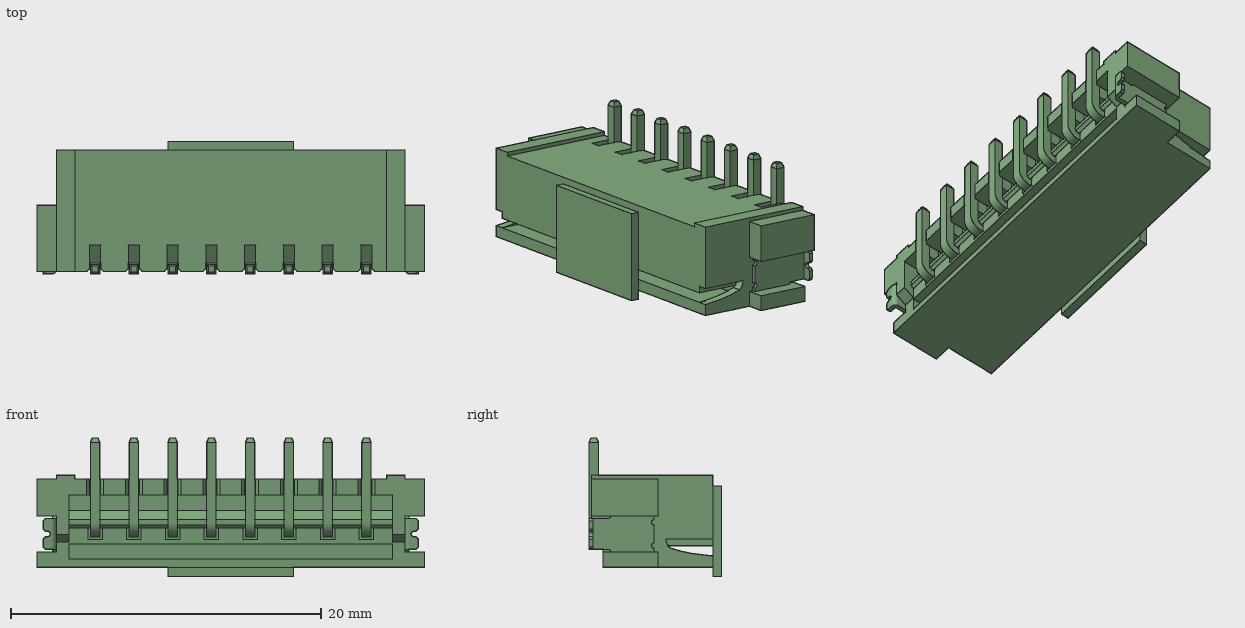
import cadquery as cq


HOUSING_WIDTH = 22.5
HOUSING_DEPTH = 7.85
HOUSING_HEIGHT = 5.7
LOWER_FRONT_Y = 0.75
FRONT_SLOPE_TOP_Z = 2.11
FRONT_SLOPE_BOTTOM_Z = 1.64
RAIL_WIDTH = 1.2
RAIL_HEIGHT = 0.25

OVERALL_WIDTH = 25.0
EAR_BACK_Y = 4.3
LOWER_EAR_TOP_Z = 1.0
UPPER_EAR_BOTTOM_Z = 3.3

PLATE_WIDTH = 8.1
PLATE_THICKNESS = 0.55
PLATE_BOTTOM_Z = -0.6
PLATE_TOP_Z = 5.25

WINDOW_WIDTH = 20.9
WINDOW_BACK_Y = 1.73
WINDOW_TOP_Z = 4.66
SHELF_BACK_Z = 3.68
SHELF_FRONT_Y = 0.55
SHELF_FRONT_Z = 3.07
SHELF_LIP_BOTTOM_Z = 2.72
SHELF_FOOT_Z = 2.53
RECESS_BOTTOM_Z = 0.52
RECESS_TOP_Z = 1.5
RECESS_DEPTH = 0.65

PIN_COUNT = 8
PIN_PITCH = 2.5
PIN_SIZE = 0.62
PIN_FRONT_Y = -0.15
PIN_TOP_Z = 8.35
PIN_BOTTOM_Z = 1.95
PIN_INNER_BEND_RADIUS = 0.23
PIN_ROOT_Y = 2.0
PIN_TIP_LENGTH = 0.3
PIN_TIP_INSET = 0.12

SLOT_WIDTH = 0.7
SLOT_FLARE = 0.2
SOCKET_WIDTH = 0.93
SOCKET_BOTTOM_Z = 1.8
SOCKET_BACK_Y = 1.2

SIDE_WALL = 0.65
PASSAGE_TOP_Z = 1.38
OPENING_FRONT_Y = 4.82
OPENING_BOTTOM_Z = 0.74
OPENING_TOP_Z = 1.82
OPENING_CURVE_START = (7.13, 0.82)
OPENING_SHALLOW_MIDDLE = (6.1, 0.97)
OPENING_CURVE_KNEE = (5.1, 1.25)
OPENING_STEEP_MIDDLE = (4.9, 1.48)

TAB_THICKNESS = 0.25
TAB_BEND_RADIUS = 0.3
TAB_TIP_X = 12.1
TAB_BACK_Y = 4.05
TAB_SHOULDER_Y = 1.3
TAB_SHOULDER = 0.15
TAB_CORNER = 0.15
TAB_NOTCH_WIDTH = 0.34
TAB_NOTCH_END_X = 11.65
TAB_RELIEF_RADIUS = 0.17
TAB_RELIEF_OFFSET = 0.75

HALF_HOUSING = HOUSING_WIDTH / 2
PIN_POSITIONS = [(i - (PIN_COUNT - 1) / 2) * PIN_PITCH for i in range(PIN_COUNT)]


def box(x_min, x_max, y_min, y_max, z_min, z_max):
    size = (x_max - x_min, y_max - y_min, z_max - z_min)
    return cq.Workplane("XY").box(*size, centered=False).translate((x_min, y_min, z_min))


def centered_box(width, y_min, y_max, z_min, z_max):
    return box(-width / 2, width / 2, y_min, y_max, z_min, z_max)


def side_profile(points, width, x_center=0):
    """Closed outline of (Y, Z) points, extruded along X about x_center."""
    outline = cq.Workplane("YZ").polyline(points).close()
    return outline.extrude(width / 2, both=True).translate((x_center, 0, 0))


def mirrored_pair(solid):
    return solid.union(solid.mirror("YZ"))


def make_housing():
    housing = side_profile(
        [
            (LOWER_FRONT_Y, 0),
            (HOUSING_DEPTH, 0),
            (HOUSING_DEPTH, HOUSING_HEIGHT),
            (0, HOUSING_HEIGHT),
            (0, FRONT_SLOPE_TOP_Z),
            (LOWER_FRONT_Y, FRONT_SLOPE_BOTTOM_Z),
        ],
        HOUSING_WIDTH,
    )
    rail_inner_x = HALF_HOUSING - RAIL_WIDTH
    rail_top_z = HOUSING_HEIGHT + RAIL_HEIGHT
    rail = box(rail_inner_x, HALF_HOUSING, 0, HOUSING_DEPTH, HOUSING_HEIGHT, rail_top_z)
    ear_x = OVERALL_WIDTH / 2
    lower_ear = box(HALF_HOUSING, ear_x, LOWER_FRONT_Y, EAR_BACK_Y, 0, LOWER_EAR_TOP_Z)
    upper_ear = box(HALF_HOUSING, ear_x, 0, EAR_BACK_Y, UPPER_EAR_BOTTOM_Z, HOUSING_HEIGHT)
    for feature in (rail, lower_ear, upper_ear):
        housing = housing.union(mirrored_pair(feature))
    plate_back_y = HOUSING_DEPTH + PLATE_THICKNESS
    return housing.union(
        centered_box(PLATE_WIDTH, HOUSING_DEPTH, plate_back_y, PLATE_BOTTOM_Z, PLATE_TOP_Z)
    )


def make_window():
    """Opening in the pin-side face, down to the sloped shelf and the wall under it."""
    return side_profile(
        [
            (0, WINDOW_TOP_Z),
            (WINDOW_BACK_Y, WINDOW_TOP_Z),
            (WINDOW_BACK_Y, SHELF_BACK_Z),
            (SHELF_FRONT_Y, SHELF_FRONT_Z),
            (SHELF_FRONT_Y, SHELF_LIP_BOTTOM_Z),
            (LOWER_FRONT_Y, SHELF_FOOT_Z),
            (LOWER_FRONT_Y, FRONT_SLOPE_BOTTOM_Z),
            (0, FRONT_SLOPE_BOTTOM_Z),
        ],
        WINDOW_WIDTH,
    )


def make_recess():
    recess_back_y = LOWER_FRONT_Y + RECESS_DEPTH
    return centered_box(WINDOW_WIDTH, LOWER_FRONT_Y, recess_back_y, RECESS_BOTTOM_Z, RECESS_TOP_Z)


def make_pin_slot():
    """Slot through the top wall, flared where it opens at the pin-side face."""
    half_slot = SLOT_WIDTH / 2
    half_mouth = half_slot + SLOT_FLARE
    outline = cq.Workplane("XY").workplane(offset=WINDOW_TOP_Z).polyline(
        [
            (-half_mouth, 0),
            (-half_slot, SLOT_FLARE),
            (-half_slot, WINDOW_BACK_Y),
            (half_slot, WINDOW_BACK_Y),
            (half_slot, SLOT_FLARE),
            (half_mouth, 0),
        ]
    )
    return outline.close().extrude(HOUSING_HEIGHT - WINDOW_TOP_Z)


def make_pin_socket():
    return centered_box(SOCKET_WIDTH, LOWER_FRONT_Y, SOCKET_BACK_Y, SOCKET_BOTTOM_Z, SHELF_FOOT_Z)


def make_pin():
    """Square pin: upright leg with a tapered tip, bent back into the housing at its foot."""
    back_y = PIN_FRONT_Y + PIN_SIZE
    shaft_top_z = PIN_TOP_Z - PIN_TIP_LENGTH
    leg = centered_box(PIN_SIZE, PIN_FRONT_Y, back_y, PIN_BOTTOM_Z, shaft_top_z)
    foot_top_z = PIN_BOTTOM_Z + PIN_SIZE
    foot = centered_box(PIN_SIZE, PIN_FRONT_Y, PIN_ROOT_Y, PIN_BOTTOM_Z, foot_top_z)
    outer_radius = PIN_SIZE + PIN_INNER_BEND_RADIUS
    inner_corner = cq.selectors.NearestToPointSelector((0, back_y, foot_top_z))
    outer_corner = cq.selectors.NearestToPointSelector((0, PIN_FRONT_Y, PIN_BOTTOM_Z))
    bent = leg.union(foot).edges(inner_corner).fillet(PIN_INNER_BEND_RADIUS)
    bent = bent.edges(outer_corner).fillet(outer_radius)
    tip_size = PIN_SIZE - 2 * PIN_TIP_INSET
    tip = (
        cq.Workplane("XY", origin=(0, PIN_FRONT_Y + PIN_SIZE / 2, shaft_top_z))
        .rect(PIN_SIZE, PIN_SIZE)
        .workplane(offset=PIN_TIP_LENGTH)
        .rect(tip_size, tip_size)
        .loft(ruled=True)
    )
    return bent.union(tip)


def make_side_openings():
    """Openings with curved bottoms in both end walls, joined by a low passage between them."""
    opening = (
        cq.Workplane("YZ", origin=(HALF_HOUSING - SIDE_WALL, 0, 0))
        .moveTo(HOUSING_DEPTH, OPENING_TOP_Z)
        .lineTo(HOUSING_DEPTH, OPENING_BOTTOM_Z)
        .lineTo(*OPENING_CURVE_START)
        .threePointArc(OPENING_SHALLOW_MIDDLE, OPENING_CURVE_KNEE)
        .threePointArc(OPENING_STEEP_MIDDLE, (OPENING_FRONT_Y, OPENING_TOP_Z))
        .close()
        .extrude(SIDE_WALL)
    )
    passage_width = HOUSING_WIDTH - 2 * SIDE_WALL
    passage = centered_box(
        passage_width, OPENING_FRONT_Y, HOUSING_DEPTH, OPENING_BOTTOM_Z, PASSAGE_TOP_Z
    )
    return mirrored_pair(opening).union(passage)


def make_solder_tab():
    """Tab on the +X end: a plate on the end wall and a forked foot bent outward."""
    outer_x = HALF_HOUSING + TAB_THICKNESS
    foot_back_y = PIN_FRONT_Y + TAB_THICKNESS
    center_z = (LOWER_EAR_TOP_Z + UPPER_EAR_BOTTOM_Z) / 2
    foot_bottom_z = LOWER_EAR_TOP_Z + TAB_SHOULDER
    foot_top_z = UPPER_EAR_BOTTOM_Z - TAB_SHOULDER

    wide = side_profile(
        [
            (TAB_BACK_Y, LOWER_EAR_TOP_Z),
            (TAB_BACK_Y, UPPER_EAR_BOTTOM_Z),
            (TAB_SHOULDER_Y, UPPER_EAR_BOTTOM_Z),
            (TAB_SHOULDER_Y - TAB_SHOULDER, foot_top_z),
            (TAB_SHOULDER_Y - TAB_SHOULDER, foot_bottom_z),
            (TAB_SHOULDER_Y, LOWER_EAR_TOP_Z),
        ],
        TAB_THICKNESS,
        HALF_HOUSING + TAB_THICKNESS / 2,
    )
    for relief_z in (center_z - TAB_RELIEF_OFFSET, center_z + TAB_RELIEF_OFFSET):
        relief = cq.Workplane("YZ", origin=(HALF_HOUSING, TAB_BACK_Y, relief_z))
        wide = wide.cut(relief.circle(TAB_RELIEF_RADIUS).extrude(TAB_THICKNESS))

    narrow = box(HALF_HOUSING, outer_x, PIN_FRONT_Y, TAB_SHOULDER_Y, foot_bottom_z, foot_top_z)
    foot = box(HALF_HOUSING, TAB_TIP_X, PIN_FRONT_Y, foot_back_y, foot_bottom_z, foot_top_z)
    notch_radius = TAB_NOTCH_WIDTH / 2
    notch_center_x = TAB_NOTCH_END_X + notch_radius
    notch_bottom_z = center_z - notch_radius
    notch_top_z = center_z + notch_radius
    notch = box(notch_center_x, TAB_TIP_X, PIN_FRONT_Y, foot_back_y, notch_bottom_z, notch_top_z)
    notch_end = (
        cq.Workplane("XZ", origin=(notch_center_x, foot_back_y, center_z))
        .circle(notch_radius)
        .extrude(TAB_THICKNESS)
    )
    foot = foot.cut(notch).cut(notch_end)
    foot = foot.edges("|Y and >X").chamfer(TAB_CORNER)

    bend_edge = cq.selectors.NearestToPointSelector((HALF_HOUSING, PIN_FRONT_Y, center_z))
    bent = narrow.union(foot).edges(bend_edge).fillet(TAB_BEND_RADIUS)
    return bent.union(wide)


result = make_housing().cut(make_window()).cut(make_recess()).cut(make_side_openings())
for pin_x in PIN_POSITIONS:
    result = result.cut(make_pin_slot().translate((pin_x, 0, 0)))
    result = result.cut(make_pin_socket().translate((pin_x, 0, 0)))
for pin_x in PIN_POSITIONS:
    result = result.union(make_pin().translate((pin_x, 0, 0)))
result = result.union(mirrored_pair(make_solder_tab()))